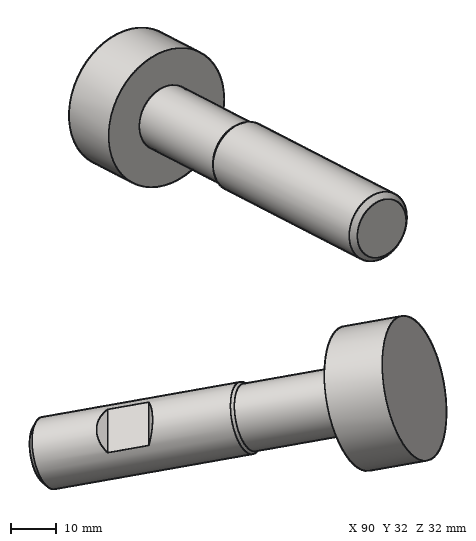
import cadquery as cq

total_length = 90.0
head_diameter = 32.0
head_length = 14.0

neck_diameter = 15.0
neck_end = 40.0
shank_diameter = 16.0
shoulder_length = 0.7

tip_chamfer_length = 1.3
tip_chamfer_depth = 1.3

flat_center = 66.3
flat_length = 10.0
flat_depth = 1.8
flat_end_slope = 1.0

head_radius = head_diameter / 2
neck_radius = neck_diameter / 2
shank_radius = shank_diameter / 2


def turned_body():
    """Revolve the half profile of head, neck and shank about the X axis."""
    profile = (
        cq.Workplane("XY")
        .moveTo(0, 0)
        .lineTo(0, head_radius)
        .lineTo(head_length, head_radius)
        .lineTo(head_length, neck_radius)
        .lineTo(neck_end, neck_radius)
        .lineTo(neck_end + shoulder_length, shank_radius)
        .lineTo(total_length - tip_chamfer_length, shank_radius)
        .lineTo(total_length, shank_radius - tip_chamfer_depth)
        .lineTo(total_length, 0)
        .close()
    )
    return profile.revolve(360, (0, 0, 0), (1, 0, 0))


def clamping_flat():
    """Trapezoidal cutter with a 45 degree slope at each end, open above the shank."""
    floor_y = shank_radius - flat_depth
    cutter_height = 2 * flat_depth
    half_floor = flat_length / 2
    half_top = half_floor + cutter_height * flat_end_slope
    return (
        cq.Workplane("XY")
        .polyline([
            (flat_center - half_floor, floor_y),
            (flat_center + half_floor, floor_y),
            (flat_center + half_top, floor_y + cutter_height),
            (flat_center - half_top, floor_y + cutter_height),
        ])
        .close()
        .extrude(shank_radius, both=True)
    )


result = turned_body().cut(clamping_flat())